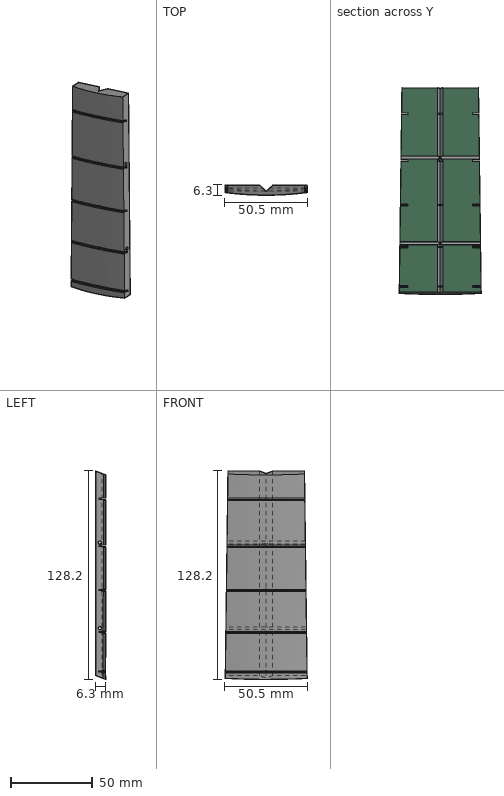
import cadquery as cq

height = 128.2
bottom_width = 50.5
top_width = 47.2
thickness = 6.3
front_radius = 192.4
end_drop = 2.5

vee_half_width = 4.0
vee_depth = 4.0

slot_heights = (111.2, 82.2, 55.0, 29.2, 5.0)
slot_depth = 2.7
slot_opening = 0.8
lip_height = 0.6
lip_depth = 0.3

hole_diameter = 1.8
hole_heights = (84.3, 31.5)
hole_y = -2.6

margin = 6.4
front_center_y = front_radius - thickness


def tapered_blank():
    """Straight-sided plate, narrower at the top."""
    return (
        cq.Workplane("XZ")
        .polyline([
            (-bottom_width / 2, 0),
            (bottom_width / 2, 0),
            (top_width / 2, height),
            (-top_width / 2, height),
        ])
        .close()
        .extrude(thickness)
    )


def side_profile():
    """Parallelogram section that slopes both ends down to the front."""
    return (
        cq.Workplane("YZ")
        .polyline([
            (0, end_drop),
            (0, height),
            (-thickness, height - end_drop),
            (-thickness, 0),
        ])
        .close()
        .extrude(bottom_width, both=True)
    )


def front_cylinder(radius, base, length):
    """Upright cylinder concentric with the bowed front face."""
    return cq.Workplane("XY", origin=(0, front_center_y, base)).circle(radius).extrude(length)


def vee_groove():
    return (
        cq.Workplane("XY")
        .polyline([(-vee_half_width, 0), (0, -vee_depth), (vee_half_width, 0)])
        .close()
        .extrude(height)
    )


def slot_cutter(center_z):
    """Ring that follows the front face, cutting the slot and its lower bevel."""
    slot_bottom = center_z - slot_opening / 2
    slot_top = center_z + slot_opening / 2
    floor_radius = front_radius - slot_depth
    bevel_radius = front_radius - lip_depth
    outer_radius = front_radius + margin
    return (
        cq.Workplane("XZ", origin=(0, front_center_y, 0))
        .polyline([
            (floor_radius, slot_bottom),
            (bevel_radius, slot_bottom),
            (front_radius, slot_bottom - lip_height),
            (outer_radius, slot_bottom - lip_height),
            (outer_radius, slot_top),
            (floor_radius, slot_top),
        ])
        .close()
        .revolve(360, (0, 0, 0), (0, 1, 0))
    )


def cross_hole(center_z):
    return (
        cq.Workplane("YZ")
        .center(hole_y, center_z)
        .circle(hole_diameter / 2)
        .extrude(bottom_width, both=True)
    )


result = tapered_blank().intersect(side_profile())
result = result.intersect(front_cylinder(front_radius, 0, height))
result = result.cut(vee_groove())
for slot_z in slot_heights:
    result = result.cut(slot_cutter(slot_z))
for hole_z in hole_heights:
    result = result.cut(cross_hole(hole_z))